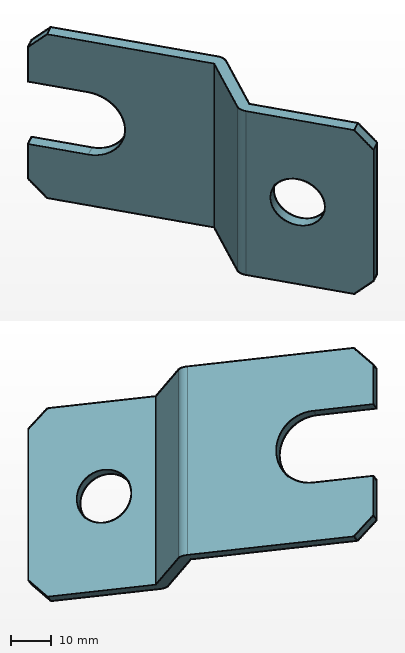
import cadquery as cq
import math

length = 94.0
depth = 20.0
height = 50.0
thickness = 3.2

rear_bend_x = 47.9
front_bend_x = 61.1
corner_chamfer = 5.0

slot_width = 19.0
slot_depth = 25.0
hole_diameter = 14.0
hole_x = 74.45

bend_run = front_bend_x - rear_bend_x
bend_drop = depth - 2 * thickness
corner_distance = math.hypot(bend_run, bend_drop)
slope = math.atan2(bend_drop, bend_run) + math.asin(thickness / corner_distance)


def bend_offset(angle):
    """Offset from an inside corner to the outer arc, measured from the plate normal."""
    return thickness * math.sin(angle), thickness * math.cos(angle)


mid_x, mid_y = bend_offset(slope / 2)
end_x, end_y = bend_offset(slope)
rear_inner_y = depth - thickness


def make_bent_strip():
    """Z-shaped sheet profile extruded over the full height."""
    return (
        cq.Workplane("XY")
        .moveTo(0, depth)
        .lineTo(rear_bend_x, depth)
        .threePointArc(
            (rear_bend_x + mid_x, rear_inner_y + mid_y),
            (rear_bend_x + end_x, rear_inner_y + end_y),
        )
        .lineTo(front_bend_x, thickness)
        .lineTo(length, thickness)
        .lineTo(length, 0)
        .lineTo(front_bend_x, 0)
        .threePointArc(
            (front_bend_x - mid_x, thickness - mid_y),
            (front_bend_x - end_x, thickness - end_y),
        )
        .lineTo(rear_bend_x, rear_inner_y)
        .lineTo(0, rear_inner_y)
        .close()
        .extrude(height)
    )


def through_y(sketch_plane):
    """Extrude a sketch on the XZ plane through the whole depth."""
    return sketch_plane.extrude(-depth)


def make_slot():
    """Round-ended slot open at the left edge."""
    radius = slot_width / 2
    arc_x = slot_depth - radius
    middle = height / 2
    return through_y(
        cq.Workplane("XZ")
        .moveTo(0, middle - radius)
        .lineTo(arc_x, middle - radius)
        .threePointArc((slot_depth, middle), (arc_x, middle + radius))
        .lineTo(0, middle + radius)
        .close()
    )


def make_hole():
    return through_y(cq.Workplane("XZ").center(hole_x, height / 2).circle(hole_diameter / 2))


strip = make_bent_strip()
chamfered = strip.faces("<X or >X").edges("|Y").chamfer(corner_chamfer)
result = chamfered.cut(make_slot()).cut(make_hole())